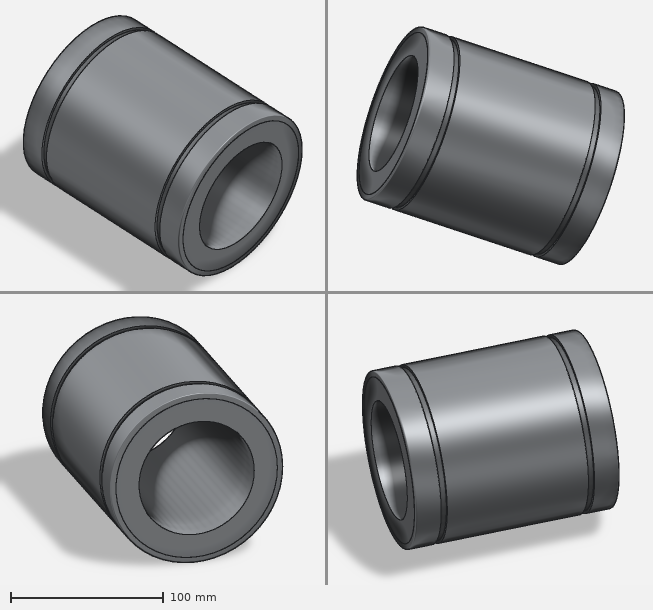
import cadquery as cq

length = 140.0
outer_diameter = 120.0
bore_diameter = 80.0
edge_radius = 1.0

groove_diameter = 116.0
groove_width = 4.2
groove_end_distance = 17.2

seal_diameter = 112.0
seal_depth = 0.1


def cylinder_x(diameter, start, thickness):
    """Solid cylinder along X that begins at x = start."""
    return cq.Workplane("YZ", origin=(start, 0, 0)).circle(diameter / 2).extrude(thickness)


def groove_ring(start):
    """Ring of material to remove for one retaining ring groove."""
    ring = cylinder_x(outer_diameter, start, groove_width)
    return ring.cut(cylinder_x(groove_diameter, start, groove_width))


end = length / 2
result = cylinder_x(outer_diameter, -end, length).faces("<X or >X").fillet(edge_radius)

groove_start = -end + groove_end_distance
for start in (groove_start, -groove_start - groove_width):
    result = result.cut(groove_ring(start))

for start in (-end, end - seal_depth):
    result = result.cut(cylinder_x(seal_diameter, start, seal_depth))

result = result.cut(cylinder_x(bore_diameter, -end, length))